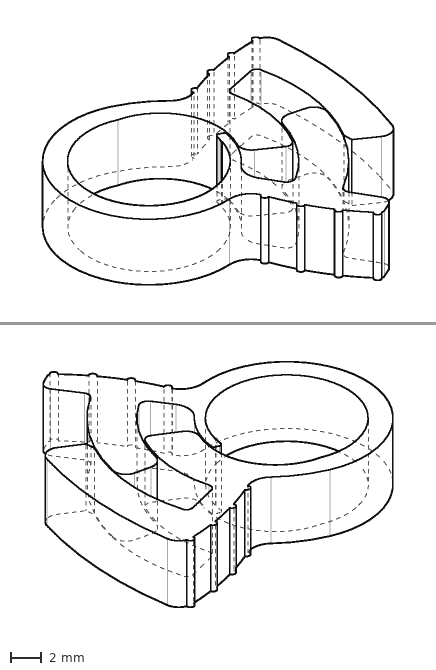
import cadquery as cq
import math


WIDTH = 5.1

RING_OUTER_R = 6.9
BORE_R = 5.28
LEFT_BORE_CENTRE = (-0.19, 0.88)
LEFT_BORE_R = 5.2
LEFT_FLANK_R = 10.61
LEFT_FLANK_CENTRE = (LEFT_FLANK_R - RING_OUTER_R, 0)

TONGUE_OUTER_R = 6.0
INNER_JAW_OUTER_R = 9.62
MIDDLE_JAW_INNER_R = 9.73
MIDDLE_JAW_OUTER_R = 12.98
OUTER_JAW_INNER_R = 13.02
OUTER_JAW_BACK_CENTRE = (2.87, -12.37)
OUTER_JAW_BACK_R = 28.65
GRIP_TIP_R = 16.38

JAW_END_ANGLE = 10.3
POCKET_END_ANGLE = 37.0
TONGUE_END_X = -1.35
TONGUE_FLAT_Y = 5.21
TONGUE_FLAT_LENGTH = 0.93
TONGUE_FLAT_THICKNESS = 0.46

GRIP_R = 18.93
LEFT_GRIP_CENTRE = (6.25, 19.62)
RIGHT_GRIP_CENTRE = (-6.15, 19.58)
RIB_R = 0.28
RIB_COUNT = 4
RIB_FIRST_ANGLE = 24.8
LEFT_RIB_PITCH = 7.3
RIGHT_RIB_PITCH = 7.7

BLANK_R = 20.85
BLANK_CORE_R = 2.32
BLANK_ANGLE = 80.0
TONGUE_BLANK_ANGLE = -20.0
RING_LEFT_ANGLE = -40.0
RING_RIGHT_ANGLE = 45.0

LEFT_NECK_FILLET = 1.7
RIGHT_NECK_FILLET = 1.85
TONGUE_ROOT_FILLET = 1.55
TONGUE_END_FILLET = 0.2
JAW_CORNER_FILLET = 0.97
GRIP_CORNER_FILLET = 1.15
INNER_JAW_TOP_FILLET = 0.55
POCKET_FILLET = 0.46
RIGHT_POCKET_FILLET = 0.63
GRIP_ROOT_FILLET = 0.53
GRIP_TIP_FILLET = 0.63
GRIP_CHEEK_FILLET = 0.35
OUTER_JAW_CHAMFER = (0.6, 0.4)


def polar(radius, angle):
    a = math.radians(angle)
    return (radius * math.sin(a), radius * math.cos(a))


def disc(centre, radius):
    return cq.Workplane("XY").center(*centre).circle(radius).extrude(WIDTH)


def sector(inner_r, outer_r, start, end):
    """Ring sector running clockwise from the start angle to the end angle."""
    middle = (start + end) / 2
    return (
        cq.Workplane("XY")
        .moveTo(*polar(inner_r, start))
        .lineTo(*polar(outer_r, start))
        .threePointArc(polar(outer_r, middle), polar(outer_r, end))
        .lineTo(*polar(inner_r, end))
        .threePointArc(polar(inner_r, middle), polar(inner_r, start))
        .close()
        .extrude(WIDTH)
    )


def corner(body, point):
    """The upright edge of the body nearest to a point in the XY plane."""
    return body.edges("|Z").edges(cq.selectors.NearestToPointSelector((*point, WIDTH / 2)))


def round_corners(body, corners):
    for point, radius in corners:
        body = corner(body, point).fillet(radius)
    return body


def circle_crossing(centre_a, radius_a, centre_b, radius_b, side):
    """Crossing point of two circles; side +1 is left of the line from a to b, -1 is right."""
    dx = centre_b[0] - centre_a[0]
    dy = centre_b[1] - centre_a[1]
    span = math.hypot(dx, dy)
    along = (span**2 + radius_a**2 - radius_b**2) / (2 * span)
    across = side * math.sqrt(radius_a**2 - along**2)
    return (
        centre_a[0] + (along * dx - across * dy) / span,
        centre_a[1] + (along * dy + across * dx) / span,
    )


def left_half():
    """Left side of the ring, with the outer and inner jaws joined by the left grip."""
    body = sector(BORE_R, BLANK_R, -BLANK_ANGLE, JAW_END_ANGLE)
    body = body.intersect(disc(LEFT_GRIP_CENTRE, GRIP_R))
    body = body.intersect(disc(OUTER_JAW_BACK_CENTRE, OUTER_JAW_BACK_R))
    body = body.cut(sector(INNER_JAW_OUTER_R, OUTER_JAW_INNER_R, -POCKET_END_ANGLE, POCKET_END_ANGLE))
    body = body.union(sector(BORE_R, RING_OUTER_R, -180, RING_LEFT_ANGLE))
    flank = sector(BORE_R, BLANK_R, -90, RING_LEFT_ANGLE)
    flank = flank.intersect(disc(LEFT_FLANK_CENTRE, LEFT_FLANK_R))
    body = body.union(flank)
    body = body.cut(disc(LEFT_BORE_CENTRE, LEFT_BORE_R))
    grip_corner = circle_crossing(
        LEFT_GRIP_CENTRE, GRIP_R, OUTER_JAW_BACK_CENTRE, OUTER_JAW_BACK_R, -1
    )
    return round_corners(body, [
        (grip_corner, GRIP_CORNER_FILLET),
        (polar(GRIP_TIP_R, JAW_END_ANGLE), JAW_CORNER_FILLET),
        (polar(OUTER_JAW_INNER_R, -POCKET_END_ANGLE), POCKET_FILLET),
        (polar(INNER_JAW_OUTER_R, -POCKET_END_ANGLE), POCKET_FILLET),
        (polar(INNER_JAW_OUTER_R, JAW_END_ANGLE), INNER_JAW_TOP_FILLET),
        (polar(TONGUE_OUTER_R, JAW_END_ANGLE), JAW_CORNER_FILLET),
    ])


def chamfer_outer_jaw(body):
    """Slanted lead-in on the inner corner of the outer jaw's free end."""
    along_jaw, up_end = OUTER_JAW_CHAMFER
    along_angle = math.degrees(along_jaw / OUTER_JAW_INNER_R)
    wedge = (
        cq.Workplane("XY")
        .polyline([
            polar(OUTER_JAW_INNER_R, JAW_END_ANGLE - along_angle),
            polar(OUTER_JAW_INNER_R + up_end, JAW_END_ANGLE),
            polar(OUTER_JAW_INNER_R, JAW_END_ANGLE + along_angle),
            polar(OUTER_JAW_INNER_R - up_end, JAW_END_ANGLE),
        ])
        .close()
        .extrude(WIDTH)
    )
    return body.cut(wedge)


def tongue():
    """Thin sealing tongue that continues the ring under the inner jaw."""
    blank = sector(BORE_R, TONGUE_OUTER_R, TONGUE_BLANK_ANGLE, RING_RIGHT_ANGLE)
    flat = (
        cq.Workplane("XY")
        .moveTo(TONGUE_END_X, TONGUE_FLAT_Y)
        .rect(TONGUE_FLAT_LENGTH, TONGUE_FLAT_THICKNESS, centered=False)
        .extrude(WIDTH)
    )
    keep = (
        cq.Workplane("XY")
        .moveTo(TONGUE_END_X, 0)
        .rect(BLANK_R, BLANK_R, centered=False)
        .extrude(WIDTH)
    )
    body = blank.union(flat).intersect(keep)
    return round_corners(body, [
        ((TONGUE_END_X, TONGUE_FLAT_Y), TONGUE_END_FILLET),
        ((TONGUE_END_X, TONGUE_OUTER_R), TONGUE_END_FILLET),
    ])


def right_half():
    """Right side of the ring, with the middle jaw, right grip and sealing tongue."""
    body = sector(BORE_R, GRIP_TIP_R, -JAW_END_ANGLE, BLANK_ANGLE)
    body = body.intersect(disc(RIGHT_GRIP_CENTRE, GRIP_R))
    body = body.cut(sector(MIDDLE_JAW_OUTER_R, BLANK_R, -POCKET_END_ANGLE, POCKET_END_ANGLE))
    body = body.cut(sector(BLANK_CORE_R, MIDDLE_JAW_INNER_R, -POCKET_END_ANGLE, POCKET_END_ANGLE))
    body = body.union(sector(BORE_R, RING_OUTER_R, RING_RIGHT_ANGLE, 180))
    body = body.union(tongue())
    grip_corner = circle_crossing((0, 0), GRIP_TIP_R, RIGHT_GRIP_CENTRE, GRIP_R, -1)
    return round_corners(body, [
        (polar(GRIP_TIP_R, POCKET_END_ANGLE), GRIP_TIP_FILLET),
        (grip_corner, GRIP_CHEEK_FILLET),
        (polar(MIDDLE_JAW_OUTER_R, POCKET_END_ANGLE), GRIP_ROOT_FILLET),
        (polar(MIDDLE_JAW_OUTER_R, -JAW_END_ANGLE), JAW_CORNER_FILLET),
        (polar(MIDDLE_JAW_INNER_R, -JAW_END_ANGLE), JAW_CORNER_FILLET),
        (polar(MIDDLE_JAW_INNER_R, POCKET_END_ANGLE), RIGHT_POCKET_FILLET),
        (polar(TONGUE_OUTER_R, POCKET_END_ANGLE), TONGUE_ROOT_FILLET),
    ])


def ribs(grip_centre, direction, pitch):
    """Row of round ribs along a grip face; direction -1 is the left face, +1 the right."""
    points = []
    for i in range(RIB_COUNT):
        a = math.radians(RIB_FIRST_ANGLE + i * pitch)
        x = grip_centre[0] + direction * GRIP_R * math.cos(a)
        y = grip_centre[1] - GRIP_R * math.sin(a)
        points.append((x, y))
    return cq.Workplane("XY").pushPoints(points).circle(RIB_R).extrude(WIDTH)


left_neck = circle_crossing(LEFT_FLANK_CENTRE, LEFT_FLANK_R, LEFT_GRIP_CENTRE, GRIP_R, 1)
right_neck = circle_crossing((0, 0), RING_OUTER_R, RIGHT_GRIP_CENTRE, GRIP_R, -1)

result = chamfer_outer_jaw(left_half()).union(right_half())
result = round_corners(result, [
    (left_neck, LEFT_NECK_FILLET),
    (right_neck, RIGHT_NECK_FILLET),
])
result = result.union(ribs(LEFT_GRIP_CENTRE, -1, LEFT_RIB_PITCH))
result = result.union(ribs(RIGHT_GRIP_CENTRE, 1, RIGHT_RIB_PITCH))